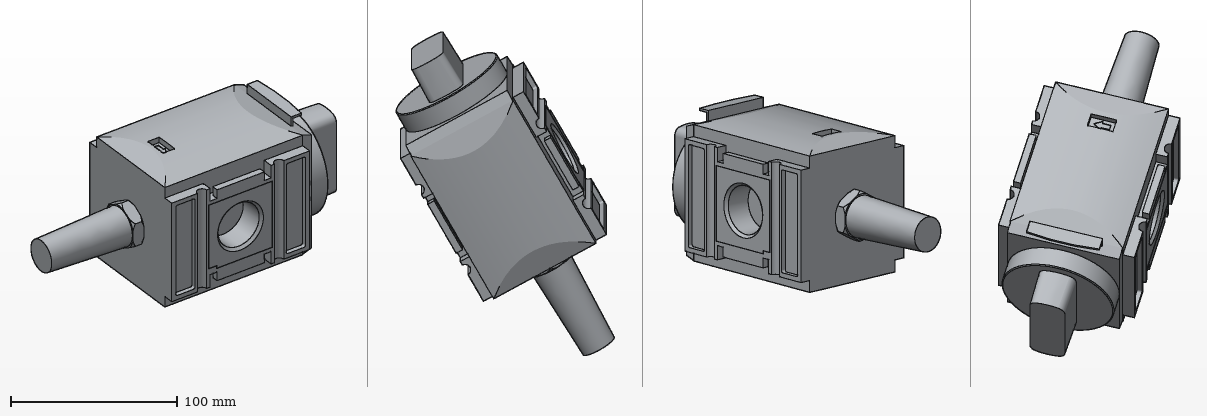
import cadquery as cq
import math


BLOCK_WIDTH = 85.0
BLOCK_LENGTH = 102.0
BLOCK_EDGE_HEIGHT = 85.0
BLOCK_CORE_WIDTH = 70.5
PAD_HEIGHT = 70.0
DOME_HEIGHT = 93.1
DOME_END_RUN = 15.2

FLANGE_WIDTH = 70.0
FLANGE_LENGTH = 6.7
FLANGE_END_HEIGHT = 80.3
COLLAR_DIAMETER = 70.0
COLLAR_LENGTH = 12.6
COLLAR_CHAMFER = 0.6
GRIP_BASE_WIDTH = 23.2
GRIP_BASE_HEIGHT = 58.5
GRIP_LENGTH = 23.2
GRIP_DRAFT = 0.6
GRIP_CORNER_RADIUS = 5.3

TAB_WIDTH = 45.5
TAB_THICKNESS = 1.5
TAB_GAP = 0.5
TAB_TOP = 48.9
TAB_SIDE_DEPTH = 7.5
TAB_MIDDLE_DEPTH = 9.0

PORT_DIAMETER = 30.3
PORT_MOUTH_DIAMETER = 34.3
PORT_CHAMFER = 2.1
PORT_DEPTH = 18.5
SEAT_SIZE = 47.0
SEAT_DEPTH = 0.2
SEAT_STEP_LENGTH = 6.0
SEAT_STEP_HEIGHT = 2.0
GROOVE_RADIUS = 3.4
GROOVE_SPACING = 57.0
PANEL_WIDTH = 14.1
PANEL_HEIGHT = 64.0
PANEL_DEPTH = 3.2
PANEL_CORNER_RADIUS = 1.3
PANEL_SPACING = 81.8
NOTCH_LENGTH = 45.0
NOTCH_FLOOR = 26.1
TONGUE_LENGTH = 35.0
TONGUE_THICKNESS = 4.5
TONGUE_TOP = 32.2

WINDOW_WIDTH = 16.0
WINDOW_LENGTH = 8.5
WINDOW_DEPTH = 4.0
WINDOW_Y = -28.5
ARROW_LENGTH = 10.1
ARROW_HEAD_LENGTH = 4.8
ARROW_HEAD_WIDTH = 6.1
ARROW_SHAFT_WIDTH = 3.2
ARROW_HEIGHT = 0.6

NUT_ACROSS_FLATS = 27.5
NUT_LENGTH = 8.2
NUT_CHAMFER_DIAMETER = 28.5
CONE_BASE_DIAMETER = 26.3
CONE_TIP_DIAMETER = 21.7

TOTAL_LENGTH = 210.7

BLOCK_FRONT = -BLOCK_LENGTH / 2
BLOCK_BACK = BLOCK_LENGTH / 2
FLANGE_BACK = BLOCK_BACK + FLANGE_LENGTH
COLLAR_BACK = FLANGE_BACK + COLLAR_LENGTH
GRIP_TIP = COLLAR_BACK + GRIP_LENGTH
NUT_FRONT = BLOCK_FRONT - NUT_LENGTH
CONE_TIP = GRIP_TIP - TOTAL_LENGTH
SIDE_FACE = BLOCK_WIDTH / 2
CORE_SIDE = BLOCK_CORE_WIDTH / 2
EDGE_TOP = BLOCK_EDGE_HEIGHT / 2
DOME_TOP = DOME_HEIGHT / 2
SIDES = (-1, 1)


def box(x_range, y_range, z_range):
    """Box between the given limits, in any order."""
    lows = [min(limits) for limits in (x_range, y_range, z_range)]
    sizes = [abs(limits[1] - limits[0]) for limits in (x_range, y_range, z_range)]
    return cq.Workplane("XY").box(*sizes, centered=False).translate(tuple(lows))


def along_y(y):
    """XZ workplane at the given Y, facing +Y, with its local Y pointing to +Z."""
    return cq.Workplane(cq.Plane(origin=(0, y, 0), xDir=(-1, 0, 0), normal=(0, 1, 0)))


def side_plane(side):
    """Workplane on a side face, facing outward, with its local X along +Y or -Y."""
    return cq.Workplane(cq.Plane(origin=(side * SIDE_FACE, 0, 0), xDir=(0, side, 0), normal=(side, 0, 0)))


def domed_core():
    """Core with arched top and bottom that slope down to both end faces."""
    arched = (
        along_y(BLOCK_FRONT)
        .moveTo(-CORE_SIDE, -EDGE_TOP)
        .threePointArc((0, -DOME_TOP), (CORE_SIDE, -EDGE_TOP))
        .lineTo(CORE_SIDE, EDGE_TOP)
        .threePointArc((0, DOME_TOP), (-CORE_SIDE, EDGE_TOP))
        .close()
        .extrude(BLOCK_LENGTH)
    )
    slope_start = BLOCK_BACK - DOME_END_RUN
    envelope = (
        cq.Workplane("YZ")
        .polyline([
            (BLOCK_FRONT, -EDGE_TOP), (-slope_start, -DOME_TOP), (slope_start, -DOME_TOP),
            (BLOCK_BACK, -EDGE_TOP), (BLOCK_BACK, EDGE_TOP), (slope_start, DOME_TOP),
            (-slope_start, DOME_TOP), (BLOCK_FRONT, EDGE_TOP),
        ])
        .close()
        .extrude(CORE_SIDE, both=True)
    )
    return arched.intersect(envelope)


def flange():
    """Back flange whose top and bottom taper toward the collar."""
    end_top = FLANGE_END_HEIGHT / 2
    return (
        cq.Workplane("YZ")
        .polyline([
            (BLOCK_BACK, -EDGE_TOP), (FLANGE_BACK, -end_top),
            (FLANGE_BACK, end_top), (BLOCK_BACK, EDGE_TOP),
        ])
        .close()
        .extrude(FLANGE_WIDTH / 2, both=True)
    )


def collar():
    """Round collar with a small chamfer on its back rim."""
    return (
        along_y(FLANGE_BACK)
        .circle(COLLAR_DIAMETER / 2)
        .extrude(COLLAR_LENGTH)
        .faces(">Y")
        .chamfer(COLLAR_CHAMFER)
    )


def grip():
    """Flat drafted grip with rounded ends and corners."""
    draft_angle = math.degrees(math.atan(GRIP_DRAFT / GRIP_LENGTH))
    slab = (
        along_y(COLLAR_BACK)
        .rect(GRIP_BASE_WIDTH, 2 * GRIP_BASE_HEIGHT)
        .extrude(GRIP_LENGTH, taper=draft_angle)
    )
    round_end = along_y(COLLAR_BACK).circle(GRIP_BASE_HEIGHT / 2).extrude(GRIP_LENGTH, taper=draft_angle)
    corners = cq.selectors.BoxSelector(
        (-GRIP_BASE_WIDTH, COLLAR_BACK + GRIP_LENGTH / 4, -GRIP_BASE_HEIGHT),
        (GRIP_BASE_WIDTH, GRIP_TIP - GRIP_LENGTH / 4, GRIP_BASE_HEIGHT),
    )
    return slab.intersect(round_end).edges(corners).fillet(GRIP_CORNER_RADIUS)


def tab():
    """Angle plate: an upright leg and a top leg with an arched back edge."""
    front = BLOCK_BACK + TAB_GAP
    half_width = TAB_WIDTH / 2
    upright = box(
        (-half_width, half_width),
        (front, front + TAB_THICKNESS),
        (FLANGE_END_HEIGHT / 2, TAB_TOP),
    )
    top_leg = (
        cq.Workplane("XY", origin=(0, front, TAB_TOP - TAB_THICKNESS))
        .moveTo(-half_width, 0)
        .lineTo(half_width, 0)
        .lineTo(half_width, TAB_SIDE_DEPTH)
        .threePointArc((0, TAB_MIDDLE_DEPTH), (-half_width, TAB_SIDE_DEPTH))
        .close()
        .extrude(TAB_THICKNESS)
    )
    return upright.union(top_leg)


def side_pad(side):
    """Pad on one side of the core, with its notches, grooves, panels and port seat."""
    inner = side * CORE_SIDE
    outer = side * SIDE_FACE
    pad_top = PAD_HEIGHT / 2
    pad = box((inner, outer), (BLOCK_FRONT, BLOCK_BACK), (-pad_top, pad_top))

    half_notch = NOTCH_LENGTH / 2
    half_tongue = TONGUE_LENGTH / 2
    for end in SIDES:
        notch = box((inner, outer), (-half_notch, half_notch), (end * NOTCH_FLOOR, end * pad_top))
        tongue = box(
            (outer - side * TONGUE_THICKNESS, outer),
            (-half_tongue, half_tongue),
            (end * NOTCH_FLOOR, end * TONGUE_TOP),
        )
        pad = pad.cut(notch).union(tongue)

    grooves = (
        cq.Workplane("XY", origin=(outer, 0, -pad_top))
        .pushPoints([(0, end * GROOVE_SPACING / 2) for end in SIDES])
        .circle(GROOVE_RADIUS)
        .extrude(PAD_HEIGHT)
    )
    panels = (
        side_plane(side)
        .pushPoints([(end * PANEL_SPACING / 2, 0) for end in SIDES])
        .rect(PANEL_WIDTH, PANEL_HEIGHT)
        .extrude(-PANEL_DEPTH)
        .edges("|X")
        .fillet(PANEL_CORNER_RADIUS)
    )
    half_seat = SEAT_SIZE / 2
    seat_bottom = outer - side * SEAT_DEPTH
    seat = box((seat_bottom, outer), (-half_seat, half_seat), (-half_seat, half_seat))
    seat_step = box(
        (seat_bottom, outer),
        (-half_seat, -half_seat + SEAT_STEP_LENGTH),
        (-half_seat, -half_seat + SEAT_STEP_HEIGHT),
    )
    return pad.cut(grooves).cut(panels).cut(seat.cut(seat_step))


def port(side):
    """Blind port hole with a conical mouth, as a cutting tool."""
    bore = side_plane(side).circle(PORT_DIAMETER / 2).extrude(-PORT_DEPTH)
    mouth_angle = math.degrees(math.atan((PORT_MOUTH_DIAMETER - PORT_DIAMETER) / 2 / PORT_CHAMFER))
    mouth = side_plane(side).circle(PORT_MOUTH_DIAMETER / 2).extrude(-PORT_CHAMFER, taper=mouth_angle)
    return bore.union(mouth)


def arrow_window():
    """Rectangular window with a raised flow arrow on its floor, as a cutting tool."""
    floor = DOME_TOP - WINDOW_DEPTH
    window = (
        cq.Workplane("XY", origin=(0, WINDOW_Y, floor))
        .rect(WINDOW_WIDTH, WINDOW_LENGTH)
        .extrude(2 * WINDOW_DEPTH)
    )
    half_arrow = ARROW_LENGTH / 2
    head_back = half_arrow - ARROW_HEAD_LENGTH
    half_shaft = ARROW_SHAFT_WIDTH / 2
    half_head = ARROW_HEAD_WIDTH / 2
    arrow = (
        cq.Workplane("XY", origin=(0, WINDOW_Y, floor))
        .polyline([
            (-half_arrow, -half_shaft), (head_back, -half_shaft), (head_back, -half_head),
            (half_arrow, 0),
            (head_back, half_head), (head_back, half_shaft), (-half_arrow, half_shaft),
        ])
        .close()
        .extrude(ARROW_HEIGHT)
    )
    return window.cut(arrow)


def make_housing():
    """Housing with its flange, collar, grip and tab."""
    housing = domed_core().union(flange()).union(collar()).union(grip()).union(tab())
    for side in SIDES:
        housing = housing.union(side_pad(side)).cut(port(side))
    return housing.cut(arrow_window())


def make_silencer():
    """Hexagon nut, chamfered at both ends, carrying a tapered silencer."""
    across_corners = NUT_ACROSS_FLATS / math.cos(math.pi / 6)
    hexagon = along_y(NUT_FRONT).polygon(6, across_corners).extrude(NUT_LENGTH)
    hexagon = hexagon.rotate((0, 0, 0), (0, 1, 0), 30)

    rim = NUT_CHAMFER_DIAMETER / 2
    corner = across_corners / 2
    chamfer = corner - rim
    chamfered_round = (
        cq.Workplane("XY")
        .polyline([
            (0, NUT_FRONT), (rim, NUT_FRONT), (corner, NUT_FRONT + chamfer),
            (corner, BLOCK_FRONT - chamfer), (rim, BLOCK_FRONT), (0, BLOCK_FRONT),
        ])
        .close()
        .revolve(360, (0, 0, 0), (0, 1, 0))
    )
    cone = (
        cq.Workplane("XY")
        .polyline([
            (0, NUT_FRONT), (CONE_BASE_DIAMETER / 2, NUT_FRONT),
            (CONE_TIP_DIAMETER / 2, CONE_TIP), (0, CONE_TIP),
        ])
        .close()
        .revolve(360, (0, 0, 0), (0, 1, 0))
    )
    return hexagon.intersect(chamfered_round).union(cone)


housing = make_housing()
silencer = make_silencer()

result = cq.Compound.makeCompound([housing.val(), silencer.val()])